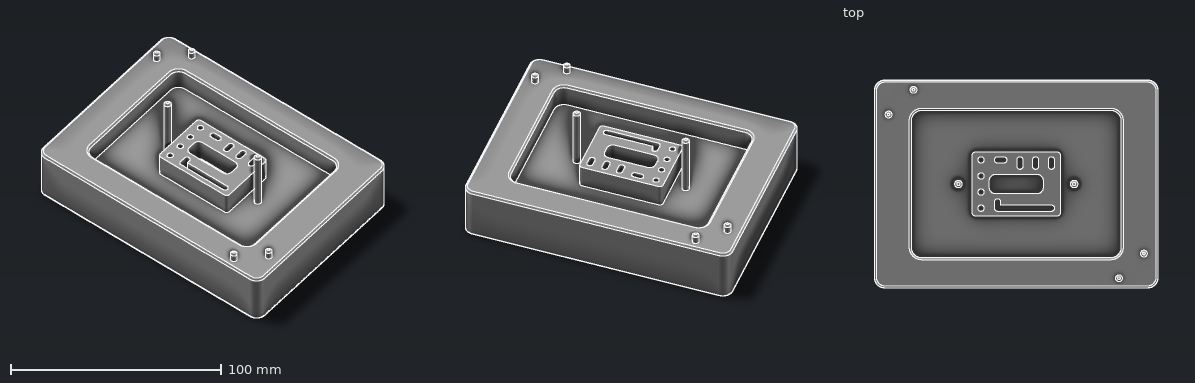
import cadquery as cq

plate_length = 135.0
plate_width = 99.0
plate_height = 28.1
plate_corner_radius = 5.0
plate_edge_chamfer = 1.0

pocket_length = 99.9
pocket_width = 70.0
pocket_depth = 12.0
pocket_corner_radius = 5.0
pocket_rim_chamfer = 1.0
floor_z = plate_height - pocket_depth

island_length = 42.1
island_width = 30.5
island_height = pocket_depth
island_corner_radius = 1.8

window_length = 25.8
window_width = 9.2
window_corner_radius = 3.04
hole_diameter = 3.0
slot_travel = 3.0
slot_length = slot_travel + hole_diameter
outer_column_x = 16.7
inner_left_column_x = 8.9
inner_right_column_x = 9.2
middle_column_x = 1.8
outer_row_y = 11.5
hole_count = 4
hole_row_pitch = 2 * outer_row_y / (hole_count - 1)

long_pin_diameter = 3.5
short_pin_diameter = 3.2
pin_tip_chamfer = 1.0
total_height = 48.0
long_pin_x = 27.5
short_pin_rise = 4.9
short_pin_near_corner = (48.9, 44.8)
short_pin_near_end = (60.8, 33.1)


def rounded_block(length, width, height, corner_radius, bottom_z):
    """Upright block centred on the Z axis, with rounded vertical edges."""
    return (
        cq.Workplane("XY", origin=(0, 0, bottom_z))
        .rect(length, width)
        .extrude(height)
        .edges("|Z")
        .fillet(corner_radius)
    )


def slot_cutter(center_x, center_y, length, angle=0):
    """Round-ended cutter one hole diameter wide and as tall as the island."""
    return (
        cq.Workplane("XY", origin=(0, 0, floor_z))
        .center(center_x, center_y)
        .slot2D(length, hole_diameter, angle)
        .extrude(island_height)
    )


def make_plate():
    outer = rounded_block(plate_length, plate_width, plate_height, plate_corner_radius, 0)
    outer = outer.faces("<Z or >Z").chamfer(plate_edge_chamfer)
    pocket = rounded_block(pocket_length, pocket_width, pocket_depth, pocket_corner_radius, floor_z)
    rim = (
        cq.Workplane("XY", origin=(0, 0, plate_height))
        .placeSketch(
            cq.Sketch()
            .rect(pocket_length + 2 * pocket_rim_chamfer, pocket_width + 2 * pocket_rim_chamfer)
            .vertices()
            .fillet(pocket_corner_radius + pocket_rim_chamfer)
        )
        .extrude(-pocket_rim_chamfer, taper=45)
    )
    return outer.cut(pocket).cut(rim).union(make_island())


def make_island():
    island = rounded_block(island_length, island_width, island_height, island_corner_radius, floor_z)
    window = rounded_block(window_length, window_width, island_height, window_corner_radius, floor_z)
    island = island.cut(window)

    holes = (
        cq.Workplane("XY", origin=(-outer_column_x, 0, floor_z))
        .rarray(1.4, hole_row_pitch, 1, hole_count)
        .circle(hole_diameter / 2)
        .extrude(island_height)
    )
    island = island.cut(holes)

    island = island.cut(slot_cutter(-inner_left_column_x + slot_travel / 2, outer_row_y, slot_length))
    for slot_x in (middle_column_x, inner_right_column_x, outer_column_x):
        island = island.cut(slot_cutter(slot_x, outer_row_y - slot_travel / 2, slot_length, 90))

    run_length = outer_column_x + inner_left_column_x + hole_diameter
    run_center_x = (outer_column_x - inner_left_column_x) / 2
    run = slot_cutter(run_center_x, -outer_row_y, run_length)
    leg = slot_cutter(-inner_left_column_x, -outer_row_y + slot_travel / 2, slot_length, 90)
    return island.cut(run).cut(leg)


def make_pin(diameter, x, y, bottom_z, length):
    """Upright pin with a chamfered tip."""
    return (
        cq.Workplane("XY", origin=(x, y, bottom_z))
        .circle(diameter / 2)
        .extrude(length)
        .faces(">Z")
        .chamfer(pin_tip_chamfer)
    )


plate = make_plate()

long_pins = [
    make_pin(long_pin_diameter, side * long_pin_x, 0, floor_z, total_height - floor_z)
    for side in (-1, 1)
]

short_pins = [
    make_pin(short_pin_diameter, -turn * x, turn * y, plate_height, short_pin_rise)
    for turn in (1, -1)
    for x, y in (short_pin_near_corner, short_pin_near_end)
]

result = cq.Compound.makeCompound(
    [plate.val()] + [pin.val() for pin in long_pins + short_pins]
)